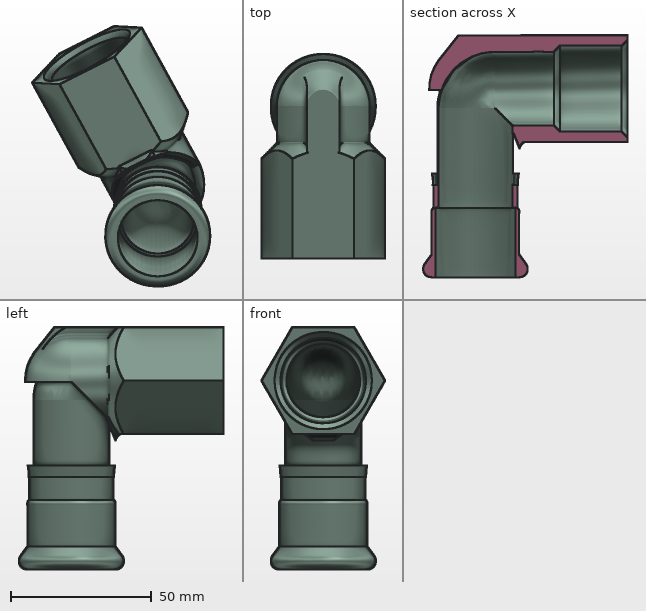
import cadquery as cq
import math


hex_flats = 38.0
hex_half = hex_flats / 2
hex_corner_radius = hex_half / math.cos(math.radians(30))
face_y = -54.0
thread_bore = 30.29
thread_mouth = 34.5
thread_depth = 24.0

housing_radius = 16.5
housing_end_y = -13.1
hex_root_fillet = 0.8
hex_cone_y = housing_end_y - (hex_corner_radius - housing_radius)
dome_edge_z = -0.5

mitre_end_y = -12.15
mitre_end_z = dome_edge_z + mitre_end_y
lip_tip_y = -15.65
lip_tip_z = -21.2
lip_root_y = -17.3
lip_tip_half_width = 3.6
lip_waist_half_width = 6.6
lip_root_half_width = 10.5
lip_hollow = 0.3

rib_half_width = 5.8
rib_end_radius = 6.0
rib_foot_fillet = 2.0
rib_edge_fillet = 0.4

pipe_radius = 27.0 / 2
bore_radius = 26.0 / 2
bend_radius = 7.0

neck_radius = 30.0 / 2
neck_top_z = -34.1
step_top_z = -42.3
step_height = 1.8
socket_radius = 31.3 / 2
socket_bore = 28.2
socket_end_z = -67.0
bead_cone_top_z = -58.85
bead_radius = 18.65
bead_round = 3.05

collar_top_z = -30.1
collar_top_radius = 15.5
collar_foot_radius = 15.15
collar_wall = 0.2


def along_y(radius, start_y, end_y):
    """Cylinder on the Y axis between two Y positions."""
    return cq.Workplane("XZ", origin=(0, start_y, 0)).circle(radius).extrude(start_y - end_y)


def along_z(radius, bottom_z, top_z):
    """Cylinder on the Z axis between two Z positions."""
    return cq.Workplane("XY", origin=(0, 0, bottom_z)).circle(radius).extrude(top_z - bottom_z)


def elbow(radius, face_end_y, bottom_z):
    """Round bar that comes up the Z axis, bends by 90 degrees and leaves along -Y."""
    cut_x = math.sqrt(radius**2 - bend_radius**2)
    bend = (
        cq.Workplane("XY", origin=(0, 0, -bend_radius))
        .moveTo(-cut_x, -bend_radius)
        .threePointArc((0, radius), (cut_x, -bend_radius))
        .close()
        .revolve(90, (0, -bend_radius, 0), (1, -bend_radius, 0))
    )
    upright = along_z(radius, bottom_z, -bend_radius)
    level = along_y(radius, -bend_radius, face_end_y)
    return upright.union(level).union(bend)


def make_hexagon():
    """Hexagonal prism whose rear corners are turned down to the housing by a 45 degree cone."""
    fillet_reach = hex_root_fillet * math.tan(math.radians(22.5))
    fillet_start_y = housing_end_y + fillet_reach
    fillet_end = (
        housing_radius + fillet_reach * math.sin(math.radians(45)),
        housing_end_y - fillet_reach * math.cos(math.radians(45)),
    )
    fillet_middle = (
        housing_radius + hex_root_fillet * (1 - math.cos(math.radians(22.5))),
        fillet_start_y - hex_root_fillet * math.sin(math.radians(22.5)),
    )
    prism = (
        cq.Workplane("XZ", origin=(0, fillet_start_y, 0))
        .polygon(6, 2 * hex_corner_radius)
        .extrude(fillet_start_y - face_y)
    )
    envelope = (
        cq.Workplane("XY")
        .moveTo(0, face_y)
        .lineTo(hex_corner_radius, face_y)
        .lineTo(hex_corner_radius, hex_cone_y)
        .lineTo(*fillet_end)
        .threePointArc(fillet_middle, (housing_radius, fillet_start_y))
        .lineTo(0, fillet_start_y)
        .close()
        .revolve(360, (0, 0, 0), (0, 1, 0))
    )
    return prism.intersect(envelope)


def make_housing():
    """Cylinder along Y that ends in a ball."""
    return along_y(housing_radius, 0, housing_end_y).union(cq.Workplane("XY").sphere(housing_radius))


def rib_section():
    """Half section of the rib foot: the flank runs into the housing through a concave fillet."""
    centre_x = rib_half_width + rib_foot_fillet
    centre_distance = housing_radius + rib_foot_fillet
    centre_z = math.sqrt(centre_distance**2 - centre_x**2)
    foot_x = centre_x * housing_radius / centre_distance
    foot_z = centre_z * housing_radius / centre_distance
    middle_angle = (math.pi + math.atan2(foot_z - centre_z, foot_x - centre_x) % (2 * math.pi)) / 2
    middle = (
        centre_x + rib_foot_fillet * math.cos(middle_angle),
        centre_z + rib_foot_fillet * math.sin(middle_angle),
    )
    return (
        cq.Workplane("XZ")
        .moveTo(0, 0)
        .lineTo(foot_x, 0)
        .lineTo(foot_x, foot_z)
        .threePointArc(middle, (rib_half_width, centre_z))
        .lineTo(0, centre_z)
        .close()
    )


def make_rib():
    """Rib with a flat top, rounded off at the rear by a cone that is tangent to the ball."""
    cone_top_z = hex_half
    edge_angle = math.atan2(cone_top_z, rib_end_radius)
    touch_angle = edge_angle - math.acos(housing_radius / math.hypot(cone_top_z, rib_end_radius))
    touch_radius = housing_radius * math.cos(touch_angle)
    touch_z = housing_radius * math.sin(touch_angle)
    front_length = -hex_cone_y

    end_cone = (
        cq.Workplane("XZ")
        .polyline([
            (0, 0),
            (touch_radius, 0),
            (touch_radius, touch_z),
            (rib_end_radius, cone_top_z),
            (0, cone_top_z),
        ])
        .close()
        .revolve(360, (0, 0, 0), (0, 1, 0))
    )
    front_room = cq.Workplane("XY").box(
        2 * housing_radius, front_length, cone_top_z, centered=(True, False, False)
    ).translate((0, -front_length, 0))
    room = end_cone.union(front_room)
    rib = cq.Workplane("XY").box(
        2 * rib_half_width, front_length + housing_radius, cone_top_z, centered=(True, False, False)
    ).translate((0, -front_length, 0))
    straight_foot = rib_section().extrude(front_length)
    round_foot = rib_section().revolve(90, (0, 0, 0), (-1, 0, 0))
    half_foot = straight_foot.union(round_foot)
    feet = half_foot.union(half_foot.mirror("YZ"))
    rib = rib.intersect(room)
    rib = rib.faces(">Z").edges("not <Y").fillet(rib_edge_fillet)
    return rib.union(feet.intersect(room))


def make_underside_cut():
    """Space below the dome edge, the mitre and the relief in front of the pipe."""
    far = 2 * housing_radius
    return (
        cq.Workplane("YZ")
        .polyline([
            (far, dome_edge_z),
            (0, dome_edge_z),
            (mitre_end_y, mitre_end_z),
            (lip_tip_y, lip_tip_z),
            (lip_tip_y, -far),
            (far, -far),
        ])
        .close()
        .extrude(far, both=True)
    )


def make_lip():
    """Pointed lip below the hexagon, narrowing towards its tip."""
    hollow = lip_hollow * math.sqrt(0.5)
    hollow_middle = ((lip_tip_y + lip_root_y) / 2 + hollow, (lip_tip_z - hex_half) / 2 + hollow)
    side = (
        cq.Workplane("YZ")
        .moveTo(mitre_end_y, mitre_end_z)
        .lineTo(lip_tip_y, lip_tip_z)
        .threePointArc(hollow_middle, (lip_root_y, -hex_half))
        .lineTo(lip_root_y, mitre_end_z)
        .close()
        .extrude(lip_root_half_width, both=True)
    )
    taper = (
        cq.Workplane("XZ")
        .polyline([
            (-lip_root_half_width, mitre_end_z),
            (lip_root_half_width, mitre_end_z),
            (lip_waist_half_width, -hex_half),
            (lip_tip_half_width, lip_tip_z),
            (-lip_tip_half_width, lip_tip_z),
            (-lip_waist_half_width, -hex_half),
        ])
        .close()
        .extrude(-lip_root_y)
    )
    return side.intersect(taper)


def make_socket():
    """Turned press socket: neck, rounded step, plain length and round bead at the mouth."""
    ring_radius = bead_radius - bead_round
    ring_z = socket_end_z + bead_round
    rise = bead_cone_top_z - ring_z
    offset = socket_radius - ring_radius
    touch_angle = math.atan2(rise, offset) - math.acos(bead_round / math.hypot(rise, offset))
    touch_radius = ring_radius + bead_round * math.cos(touch_angle)
    touch_z = ring_z + bead_round * math.sin(touch_angle)
    half_turn = math.radians(45)
    step_middle = (
        neck_radius + (socket_radius - neck_radius) * math.sin(half_turn),
        step_top_z - step_height * (1 - math.cos(half_turn)),
    )
    return (
        cq.Workplane("XZ")
        .moveTo(0, neck_top_z)
        .lineTo(neck_radius, neck_top_z)
        .lineTo(neck_radius, step_top_z)
        .threePointArc(step_middle, (socket_radius, step_top_z - step_height))
        .lineTo(socket_radius, bead_cone_top_z)
        .lineTo(touch_radius, touch_z)
        .threePointArc((bead_radius, ring_z), (ring_radius, socket_end_z))
        .lineTo(0, socket_end_z)
        .close()
        .revolve(360, (0, 0, 0), (0, 1, 0))
    )


def make_thread_bore():
    """Bore of the threaded end with 45 degree cones at its mouth and at its bottom."""
    mouth_depth = (thread_mouth - thread_bore) / 2
    bottom_y = face_y + thread_depth
    cone_end_y = bottom_y + thread_bore / 2 - bore_radius
    return (
        cq.Workplane("XY")
        .polyline([
            (0, face_y),
            (thread_mouth / 2, face_y),
            (thread_bore / 2, face_y + mouth_depth),
            (thread_bore / 2, bottom_y),
            (bore_radius, cone_end_y),
            (0, cone_end_y),
        ])
        .close()
        .revolve(360, (0, 0, 0), (0, 1, 0))
    )


def make_fitting():
    """Elbow fitting in one piece: threaded end, housing, pipe and press socket, bored through."""
    shell = make_hexagon().union(make_housing()).union(make_rib())
    shell = shell.cut(make_underside_cut()).union(make_lip())
    pipe = elbow(pipe_radius, housing_end_y, neck_top_z)
    body = shell.union(pipe).union(make_socket())
    body = body.cut(elbow(bore_radius, face_y, socket_end_z))
    body = body.cut(make_thread_bore())
    return body.cut(along_z(socket_bore / 2, socket_end_z, step_top_z))


def make_collar():
    """Thin conical collar that opens upwards around the pipe."""
    return (
        cq.Workplane("XZ")
        .polyline([
            (collar_foot_radius - collar_wall, neck_top_z),
            (collar_foot_radius, neck_top_z),
            (collar_top_radius, collar_top_z),
            (collar_top_radius - collar_wall, collar_top_z),
        ])
        .close()
        .revolve(360, (0, 0, 0), (0, 1, 0))
    )


fitting = make_fitting()
collar = make_collar()
result = cq.Compound.makeCompound([fitting.val(), collar.val()])